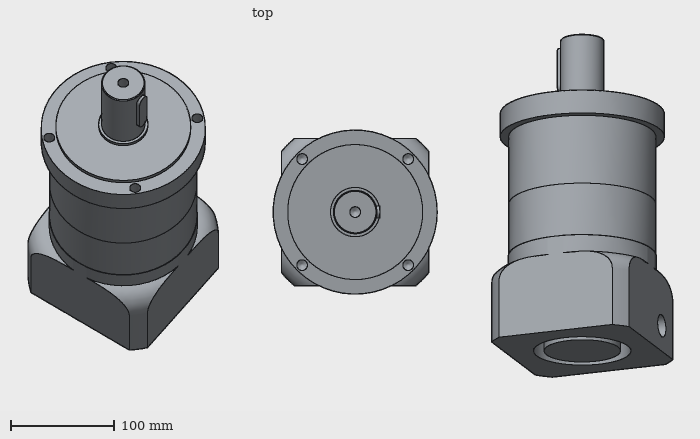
import cadquery as cq
import math

ADAPTER_TOP = 95.8
RING_TOP = 148.0
FLANGE_BOTTOM = 216.5
FLANGE_TOP = 239.5
PILOT_TOP = 243.5
COLLAR_TOP = 246.5
SHAFT_TOP = 314.0

ADAPTER_WIDTH = 142.5
NECK_FLAT_WIDTH = 16.3
NECK_RADIUS = math.hypot(ADAPTER_WIDTH, NECK_FLAT_WIDTH) / 2
CORNER_RADIUS = 92.3
CORNER_FILLET = CORNER_RADIUS - NECK_RADIUS
SHOULDER_TOP = 78.2
BORE_RADIUS = 47.0
ACCESS_DIAMETER = 22.0
ACCESS_Y = -29.0
ACCESS_Z = 25.7

BODY_DIAMETER = ADAPTER_WIDTH
HUB_DIAMETER = 73.8

FLANGE_DIAMETER = 159.0
PILOT_DIAMETER = 130.5
BOLT_COUNT = 4
BOLT_CIRCLE_DIAMETER = 145.0
BOLT_HOLE_DIAMETER = 10.5
BOLT_HOLE_DEPTH = 15.7

SHAFT_DIAMETER = 42.0
SHAFT_CHAMFER = 1.0
COLLAR_DIAMETER = 47.7
CENTRE_HOLE_DIAMETER = 10.5
CENTRE_HOLE_DEPTH = 25.0

KEY_WIDTH = 12.0
KEY_LENGTH = 44.5
KEY_BOTTOM = 263.5
KEY_HEIGHT = 8.0
KEY_OUTER_X = 24.0

DRILL_TIP_RATIO = 0.6


def cylinder(diameter, bottom, top):
    """Upright cylinder on the gearbox axis."""
    return cq.Workplane("XY").workplane(offset=bottom).circle(diameter / 2).extrude(top - bottom)


def drilled_hole(x, y, mouth_z, diameter, depth):
    """Cutter for a hole drilled downward, ending in a conical tip."""
    radius = diameter / 2
    tip_z = -depth - DRILL_TIP_RATIO * radius
    profile = cq.Workplane("XZ").polyline([(0, 0), (radius, 0), (radius, -depth), (0, tip_z)]).close()
    return profile.revolve(360, (0, 0), (0, 1)).translate((x, y, mouth_z))


def make_adapter():
    shoulder = cylinder(2 * CORNER_RADIUS, 0, SHOULDER_TOP).faces(">Z").edges().fillet(CORNER_FILLET)
    turned = shoulder.union(cylinder(2 * NECK_RADIUS, 0, ADAPTER_TOP))
    square = cq.Workplane("XY").rect(ADAPTER_WIDTH, ADAPTER_WIDTH).extrude(ADAPTER_TOP)
    bore = cylinder(2 * BORE_RADIUS, 0, ADAPTER_TOP)
    access_hole = (
        cq.Workplane("YZ", origin=(-ADAPTER_WIDTH / 2, ACCESS_Y, ACCESS_Z))
        .circle(ACCESS_DIAMETER / 2)
        .extrude(ADAPTER_WIDTH / 2)
    )
    return turned.intersect(square).cut(bore).cut(access_hole)


def make_ring_housing():
    hub = cylinder(HUB_DIAMETER, 0, ADAPTER_TOP)
    return cylinder(BODY_DIAMETER, ADAPTER_TOP, RING_TOP).union(hub)


def make_flange_housing():
    housing = cylinder(BODY_DIAMETER, RING_TOP, FLANGE_BOTTOM)
    housing = housing.union(cylinder(FLANGE_DIAMETER, FLANGE_BOTTOM, FLANGE_TOP))
    housing = housing.union(cylinder(PILOT_DIAMETER, FLANGE_TOP, PILOT_TOP))
    for index in range(BOLT_COUNT):
        angle = 2 * math.pi * (index + 0.5) / BOLT_COUNT
        x = BOLT_CIRCLE_DIAMETER / 2 * math.cos(angle)
        y = BOLT_CIRCLE_DIAMETER / 2 * math.sin(angle)
        housing = housing.cut(drilled_hole(x, y, FLANGE_TOP, BOLT_HOLE_DIAMETER, BOLT_HOLE_DEPTH))
    return housing


def make_key():
    return (
        cq.Workplane("YZ", origin=(KEY_OUTER_X - KEY_HEIGHT, 0, KEY_BOTTOM + KEY_LENGTH / 2))
        .slot2D(KEY_LENGTH, KEY_WIDTH, 90)
        .extrude(KEY_HEIGHT)
    )


def make_shaft(key):
    shaft = cylinder(SHAFT_DIAMETER, COLLAR_TOP, SHAFT_TOP).faces(">Z").chamfer(SHAFT_CHAMFER)
    shaft = shaft.union(cylinder(COLLAR_DIAMETER, PILOT_TOP, COLLAR_TOP))
    shaft = shaft.cut(drilled_hole(0, 0, SHAFT_TOP, CENTRE_HOLE_DIAMETER, CENTRE_HOLE_DEPTH))
    return shaft.cut(key)


adapter = make_adapter()
ring_housing = make_ring_housing()
flange_housing = make_flange_housing()
key = make_key()
shaft = make_shaft(key)

result = cq.Compound.makeCompound(
    [adapter.val(), ring_housing.val(), flange_housing.val(), shaft.val(), key.val()]
)